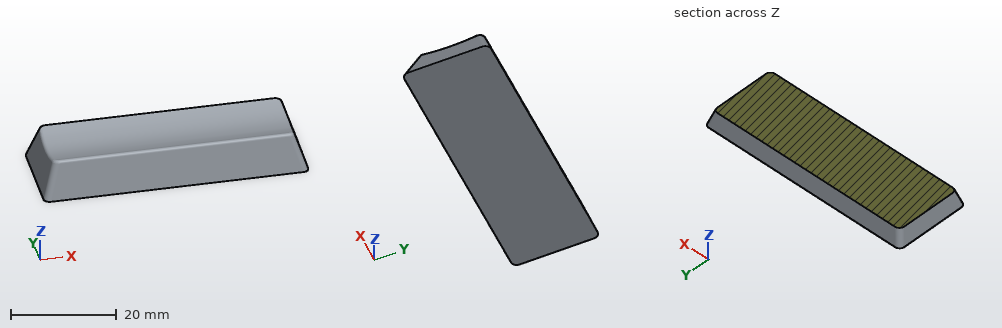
import cadquery as cq

base_length = 51.35
base_width = 18.0
wall_angle = 17.6
corner_radius = 1.3
rim_radius = 0.6
dish_radius = 21.05
dish_floor = 6.4
blank_height = 10.25


def tapered_block():
    """Rectangular block whose four walls lean inwards, with rounded corners."""
    block = cq.Workplane("XY").rect(base_length, base_width).extrude(blank_height, taper=wall_angle)
    slanted_corners = "not(#Z or |X or |Y)"
    return block.edges(slanted_corners).fillet(corner_radius)


def dish_cutter():
    """Long cylinder along X that scoops out the top."""
    return (
        cq.Workplane("YZ")
        .center(0, dish_floor + dish_radius)
        .circle(dish_radius)
        .extrude(base_length / 2, both=True)
    )


dished = tapered_block().cut(dish_cutter())

result = dished.faces("%CYLINDER").faces(">Z").edges().fillet(rim_radius)